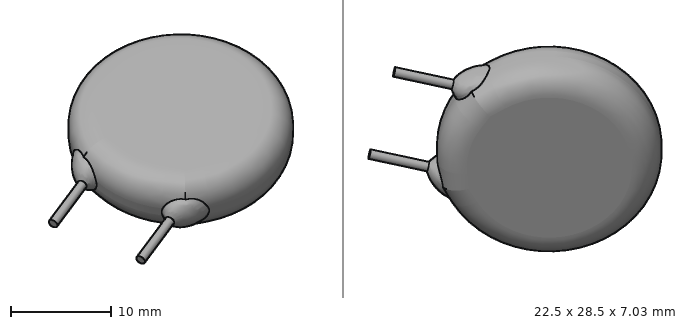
import cadquery as cq
import math

disc_diameter = 22.5
disc_radius = disc_diameter / 2
edge_band = 1.03
edge_fillet = 3.0
disc_thickness = edge_band + 2 * edge_fillet

lead_diameter = 1.0
lead_spacing = 10.0
lead_length = 6.0
lead_x = lead_spacing / 2
lead_start_y = -disc_radius

swelling_angle = 31.5
swelling_half_angle = 12.2

collar_root_depth = 0.85
collar_root_height = 3.93
collar_middle_diameter = 2.95
collar_middle_tilt = 20.0
collar_middle_x = 5.53
collar_middle_y = -10.45


def rim_point(angle, radius=disc_radius):
    """Point at an angle from -Y, positive toward +X."""
    a = math.radians(angle)
    return (radius * math.sin(a), -radius * math.cos(a))


def make_disc():
    """Round disc whose outline runs out along two tangents to a corner at each lead."""
    corner_radius = disc_radius / math.cos(math.radians(swelling_half_angle))
    outer_angle = swelling_angle + swelling_half_angle
    inner_angle = swelling_angle - swelling_half_angle
    outline = (
        cq.Workplane("XY", origin=(0, 0, -disc_thickness / 2))
        .moveTo(*rim_point(outer_angle))
        .threePointArc((0, disc_radius), rim_point(-outer_angle))
        .lineTo(*rim_point(-swelling_angle, corner_radius))
        .lineTo(*rim_point(-inner_angle))
        .threePointArc((0, -disc_radius), rim_point(inner_angle))
        .lineTo(*rim_point(swelling_angle, corner_radius))
        .close()
    )
    return outline.extrude(disc_thickness).faces("|Z").edges().fillet(edge_fillet)


def section_plane(x, y, angle):
    """Upright plane at (x, y) whose normal points outward at an angle from -Y."""
    horizontal = (math.cos(math.radians(angle)), math.sin(math.radians(angle)), 0)
    outward = rim_point(angle, 1) + (0,)
    return cq.Plane(origin=(x, y, 0), xDir=horizontal, normal=outward)


def section_wire(plane, half_width, half_height):
    """Elliptical outline on a plane."""
    return cq.Workplane(plane).ellipse(half_width, half_height).wires().val()


def make_collar():
    """Collar on the +X side, from an ellipse on the disc edge to the round lead."""
    half_angle = math.radians(swelling_half_angle)
    root_half_width = disc_radius * math.sin(half_angle)
    root_distance = disc_radius * math.cos(half_angle)
    root_half_height = collar_root_height / 2
    middle_radius = collar_middle_diameter / 2
    lead_radius = lead_diameter / 2

    root_plane = section_plane(*rim_point(swelling_angle, root_distance), swelling_angle)
    middle_plane = section_plane(collar_middle_x, collar_middle_y, collar_middle_tilt)
    tip_plane = section_plane(lead_x, lead_start_y, 0)

    taper = cq.Solid.makeLoft([
        section_wire(root_plane, root_half_width, root_half_height),
        section_wire(middle_plane, middle_radius, middle_radius),
        section_wire(tip_plane, lead_radius, lead_radius),
    ])
    root = (
        cq.Workplane(root_plane)
        .ellipse(root_half_width, root_half_height)
        .extrude(-collar_root_depth)
    )
    return root.union(cq.Workplane(taper))


def make_lead():
    """Straight round wire on the +X side."""
    plane = section_plane(lead_x, lead_start_y, 0)
    return cq.Workplane(plane).circle(lead_diameter / 2).extrude(lead_length)


terminal = make_collar().union(make_lead())
result = make_disc().union(terminal).union(terminal.mirror("YZ"))